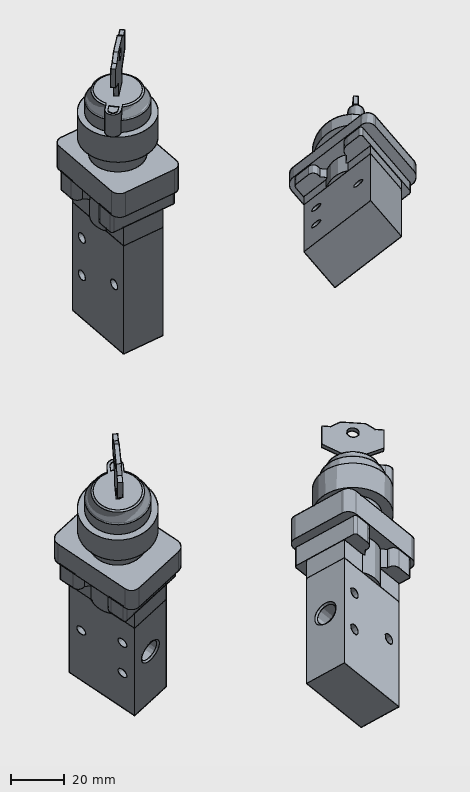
import cadquery as cq
import math

valve_top = 52.0
shoulder_top = 61.0
flange_bottom = 70.1
flange_top = 81.5
neck_top = 89.5
collar_top = 101.6
head_lip_bottom = 107.3
head_top = 112.2
overall_height = 134.0

valve_length = 31.9
valve_width = 18.2
screw_hole_diameter = 4.3
screw_hole_x = 10.0
screw_hole_pitch = 18.0
port_height = 29.6
port_diameter = 8.7
port_mouth_diameter = 10.2
port_depth = 10.7

flange_length = 40.0
flange_width = 30.0
flange_corner_radius = 3.8
leg_span = 32.2
leg_width = 29.5
leg_corner_radius = 1.1
recess_width = 12.7
recess_edge_radius = 2.8
recess_edge_wrap = 10.0
spigot_diameter = 21.0

neck_diameter = 21.7
collar_diameter = 30.0
head_diameter = 24.7
head_lip = 0.4
head_flare_radius = 9.4
head_rim_radius = 9.1
head_rim_bevel_width = 0.8
head_rim_bevel_height = 0.4

diagonal_angle = -45.0
pointer_radius = 3.1
pointer_recess_offset = 1.2
pointer_recess_depth = 0.3

key_thickness = 1.9
key_width = 23.2
key_crest_width = 9.4
key_shoulder_width = 16.6
key_stem_width = 7.8
key_shoulder_height = 131.5
key_taper_top = 122.5
key_taper_bottom = 118.3
key_hole_diameter = 4.5
key_hole_height = 129.2


def box_between(length, width, bottom, top):
    """Box centred on the Z axis, spanning two heights."""
    return cq.Workplane("XY").workplane(offset=bottom).rect(length, width).extrude(top - bottom)


def cylinder_between(diameter, bottom, top):
    """Cylinder on the Z axis, spanning two heights."""
    return cq.Workplane("XY").workplane(offset=bottom).circle(diameter / 2).extrude(top - bottom)


def make_valve():
    """Rectangular valve block with three through screw holes and a port on the -X side."""
    block = box_between(valve_length, valve_width, 0, valve_top)
    screw_hole_points = [
        (-screw_hole_x, port_height + screw_hole_pitch / 2),
        (-screw_hole_x, port_height - screw_hole_pitch / 2),
        (screw_hole_x, port_height),
    ]
    screw_holes = (
        cq.Workplane("XZ")
        .pushPoints(screw_hole_points)
        .circle(screw_hole_diameter / 2)
        .extrude(valve_width / 2, both=True)
    )
    return block.cut(screw_holes).cut(make_port())


def make_port():
    """Blind port with a 45 degree countersunk mouth, revolved about its own axis along X."""
    mouth_x = -valve_length / 2
    bore_radius = port_diameter / 2
    mouth_radius = port_mouth_diameter / 2
    countersink_end_x = mouth_x + mouth_radius - bore_radius
    return (
        cq.Workplane("XZ")
        .moveTo(mouth_x, port_height)
        .lineTo(mouth_x, port_height + mouth_radius)
        .lineTo(countersink_end_x, port_height + bore_radius)
        .lineTo(mouth_x + port_depth, port_height + bore_radius)
        .lineTo(mouth_x + port_depth, port_height)
        .close()
        .revolve(360, (mouth_x, port_height, 0), (mouth_x + port_depth, port_height, 0))
    )


def make_leg_recess():
    """Recess in the -Y side: rounded edges at its mouth, then 45 degree walls running inward."""
    mouth_y = -leg_width / 2
    centre_x = recess_width / 2 + recess_edge_radius
    centre_y = mouth_y + recess_edge_radius
    wrap = math.radians(recess_edge_wrap)
    wall_x = centre_x - recess_edge_radius * math.cos(wrap)
    wall_y = centre_y + recess_edge_radius * math.sin(wrap)
    return (
        cq.Workplane("XY")
        .workplane(offset=shoulder_top)
        .moveTo(-centre_x, mouth_y)
        .threePointArc((-recess_width / 2, centre_y), (-wall_x, wall_y))
        .lineTo(0, wall_y + wall_x)
        .lineTo(wall_x, wall_y)
        .threePointArc((recess_width / 2, centre_y), (centre_x, mouth_y))
        .close()
        .extrude(flange_bottom - shoulder_top)
    )


def make_legs():
    """Block under the flange, recessed in the middle of its -Y and +Y sides."""
    block = box_between(leg_span, leg_width, shoulder_top, flange_bottom)
    block = block.edges("|Z").fillet(leg_corner_radius)
    recess = make_leg_recess()
    return block.cut(recess).cut(recess.mirror("XZ"))


def make_base():
    """Shoulder, spigot, legs and rounded flange that carry the head."""
    flange = box_between(flange_length, flange_width, flange_bottom, flange_top)
    flange = flange.edges("|Z").fillet(flange_corner_radius)
    shoulder = box_between(valve_length, valve_width, valve_top, shoulder_top)
    spigot = cylinder_between(spigot_diameter, valve_top, flange_bottom)
    return flange.union(make_legs()).union(shoulder).union(spigot)


def make_head():
    """Neck, collar and flared head as one turned shape."""
    neck_radius = neck_diameter / 2
    collar_radius = collar_diameter / 2
    head_radius = head_diameter / 2
    bevel_radius = head_rim_radius + head_rim_bevel_width
    bevel_bottom = head_top - head_rim_bevel_height
    return (
        cq.Workplane("XZ")
        .moveTo(0, flange_top)
        .lineTo(neck_radius, flange_top)
        .lineTo(neck_radius, neck_top)
        .lineTo(collar_radius, neck_top)
        .lineTo(collar_radius, collar_top)
        .lineTo(head_radius, collar_top)
        .lineTo(head_radius, head_lip_bottom)
        .lineTo(head_radius - head_lip, head_lip_bottom + head_lip)
        .radiusArc((bevel_radius, bevel_bottom), head_flare_radius)
        .lineTo(head_rim_radius, head_top)
        .lineTo(0, head_top)
        .close()
        .revolve(360, (0, 0, 0), (0, 1, 0))
    )


def pointer_bar(radius, bottom, top):
    """Bar from the Z axis outward along X, rounded at its far end."""
    tip_centre = collar_diameter / 2 - pointer_radius
    return (
        cq.Workplane("XY")
        .workplane(offset=bottom)
        .moveTo(0, -radius)
        .lineTo(tip_centre, -radius)
        .threePointArc((tip_centre + radius, 0), (tip_centre, radius))
        .lineTo(0, radius)
        .close()
        .extrude(top - bottom)
    )


def make_pointer():
    """Pointer beside the head, level with its top, with a shallow inset outside the rim."""
    recess_floor = head_top - pointer_recess_depth
    inset = pointer_bar(pointer_radius - pointer_recess_offset, recess_floor, head_top)
    rim_radius = head_rim_radius + head_rim_bevel_width
    inset = inset.cut(cylinder_between(2 * rim_radius, recess_floor, head_top))
    return pointer_bar(pointer_radius, collar_top, head_top).cut(inset)


def make_key():
    """Flat key standing on the head, with its width along X."""
    right_side = [
        (key_stem_width / 2, head_top),
        (key_stem_width / 2, key_taper_bottom),
        (key_width / 2, key_taper_top),
        (key_width / 2, key_shoulder_height),
        (key_shoulder_width / 2, key_shoulder_height),
        (key_crest_width / 2, overall_height),
    ]
    left_side = [(-x, z) for x, z in reversed(right_side)]
    blade = (
        cq.Workplane("XZ")
        .polyline(right_side + left_side)
        .close()
        .extrude(key_thickness / 2, both=True)
    )
    key_hole = (
        cq.Workplane("XZ")
        .center(0, key_hole_height)
        .circle(key_hole_diameter / 2)
        .extrude(key_thickness, both=True)
    )
    return blade.cut(key_hole)


def make_operator():
    """Key-operated selector: base, head, pointer and key in one solid."""
    diagonal_parts = [make_pointer(), make_key()]
    operator = make_base().union(make_head())
    for part in diagonal_parts:
        operator = operator.union(part.rotate((0, 0, 0), (0, 0, 1), diagonal_angle))
    return operator


valve = make_valve()
operator = make_operator()

result = cq.Compound.makeCompound([valve.val(), operator.val()])